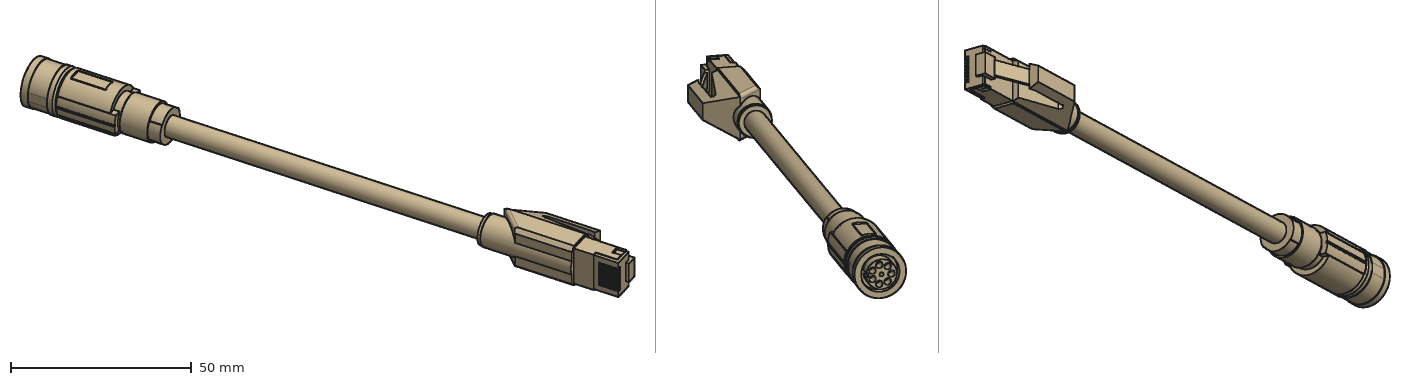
import cadquery as cq
import math


cut_clearance = 1.9

sleeve_radius = 7.4
insert_radius = 4.4
sleeve_bore_radius = 5.5
sleeve_start = 1.3
sleeve_gap_floor = 3.8
sleeve_band_start = 3.5
sleeve_band_end = 9.6
sleeve_band_radius = 7.2
sleeve_flat_half_width = 1.5
groove_start = 11.3
groove_radius = 6.8
grip_start = 12.7
grip_end = 29.3

contact_hole_radius = 1.0
contact_circle_radius = 2.8
outer_contact_count = 7
center_hole_radius = 0.5
contact_hole_depth = 3.8
keyway_width = 1.1
keyway_depth = 0.8

ridge_end = 31.2
ridge_radius = 7.5
ridge_half_width = 3.2
ridge_slot_width = 0.5
ridge_slot_depth = 0.4

label_start = 14.4
label_length = 11.0
label_width = 4.2
label_floor = 6.8

neck_radius = 5.7
collar_start = 32.0
collar_radius = 6.0
collar_end = 40.7
tail_end = 44.6
tail_radius = 5.5
tail_ridge_radius = 5.7

cable_radius = 3.2

boot_start = 144.5
boot_lip_length = 1.0
boot_lip_radius = 4.7
boot_radius = 5.0
boot_end = 174.2
block_half_width = 6.8
block_bottom = -4.4
block_top = 3.4
block_chamfer = 1.3
block_slope_start = 148.5
block_end_fillet = 1.1

hood_peak = 12.0
hood_peak_half_width = 2.5
hood_base_half_width = 6.2
hood_slope_end = 157.0
hood_front_lip = 8.9
window_roof = 9.3
window_roof_front = 172.0
window_back_x = 158.0
window_back_y = 8.5
window_corner_length = 0.8
window_floor_back_x = 158.9
window_floor_back_y = 7.8
window_floor_front_y = 5.1
arm_half_width = 2.3
arm_thickness = 1.0
arm_start_x = 172.1
arm_end_x = 184.8
arm_end_y = 4.2

total_length = 189.2
core_end = 188.2
core_half_width = 5.9
core_half_height = 3.0
shell_thickness = 0.2
shell_front = 180.5
shell_side_front = 187.3
shell_side_bottom = -1.9
nose_start = 184.5
nose_half_width = 3.2
nose_bottom = 1.3
nose_top = 4.5
side_recess_bottom = 0.4
side_recess_depth = 0.8
contact_slot_count = 8
contact_slot_pitch = 1.02
contact_slot_width = 0.5
contact_slot_start = 182.0
contact_slot_depth = 1.1


def cylinder(start, end, radius):
    """Round bar on the X axis."""
    return cq.Workplane("YZ", origin=(start, 0, 0)).circle(radius).extrude(end - start)


def block(x_range, y_range, z_range):
    """Box given by its limits along each axis."""
    size = [high - low for low, high in (x_range, y_range, z_range)]
    corner = (x_range[0], y_range[0], z_range[0])
    return cq.Workplane("XY", origin=corner).box(*size, centered=False)


def profile_along_z(points, half_width):
    """XY outline extruded symmetrically about Z = 0."""
    return cq.Workplane("XY").polyline(points).close().extrude(half_width, both=True)


def profile_along_x(points, start, end):
    """YZ outline extruded along X."""
    return cq.Workplane("YZ", origin=(start, 0, 0)).polyline(points).close().extrude(end - start)


def make_sleeve():
    groove_middle = (groove_start + grip_start) / 2
    outline = [
        (sleeve_start, 0),
        (sleeve_start, sleeve_radius),
        (sleeve_band_start, sleeve_radius),
        (sleeve_band_start, sleeve_band_radius),
        (sleeve_band_end, sleeve_band_radius),
        (sleeve_band_end, sleeve_radius),
        (groove_start, sleeve_radius),
        (groove_middle, groove_radius),
        (grip_start, sleeve_radius),
        (grip_end, sleeve_radius),
        (grip_end, 0),
    ]
    sleeve = cq.Workplane("XY").polyline(outline).close().revolve(360, (0, 0, 0), (1, 0, 0))

    sleeve = sleeve.cut(cylinder(sleeve_start, sleeve_gap_floor, sleeve_bore_radius))

    flat = math.sqrt(sleeve_band_radius**2 - sleeve_flat_half_width**2)
    for side in (-1, 1):
        y_range = sorted((side * flat, side * (sleeve_radius + cut_clearance)))
        z_range = (-sleeve_radius, sleeve_radius)
        sleeve = sleeve.cut(block((sleeve_band_start, sleeve_band_end), y_range, z_range))

    label = block(
        (label_start, label_start + label_length),
        (-label_width / 2, label_width / 2),
        (label_floor, sleeve_radius + cut_clearance),
    )
    return sleeve.cut(label)


def make_insert():
    insert = cylinder(0, grip_start, insert_radius)

    half_step = 180 / outer_contact_count
    ring = cq.Workplane("YZ").polarArray(contact_circle_radius, half_step, 360, outer_contact_count)
    holes = ring.circle(contact_hole_radius).extrude(contact_hole_depth)
    center_hole = cylinder(0, contact_hole_depth, center_hole_radius)
    insert = insert.cut(holes).cut(center_hole)

    keyway = block(
        (0, sleeve_gap_floor),
        (insert_radius - keyway_depth, insert_radius),
        (-keyway_width / 2, keyway_width / 2),
    )
    return insert.cut(keyway)


def make_ridges(start, end, radius):
    """Round-topped ridges on the +Y and -Y sides."""
    slab = block((start, end), (-radius, radius), (-ridge_half_width, ridge_half_width))
    return cylinder(start, end, radius).intersect(slab)


def make_crest_slots():
    """Cutter for the narrow slot along the crest of each grip ridge."""
    slab = block(
        (grip_start, ridge_end),
        (-ridge_radius, ridge_radius),
        (-ridge_slot_width / 2, ridge_slot_width / 2),
    )
    return slab.cut(cylinder(grip_start, ridge_end, ridge_radius - ridge_slot_depth))


def make_tail():
    outline = [
        (grip_end, 0),
        (grip_end, neck_radius),
        (collar_start, neck_radius),
        (collar_start, collar_radius),
        (collar_end, collar_radius),
        (collar_end, tail_radius),
        (tail_end, tail_radius),
        (tail_end, 0),
    ]
    tail = cq.Workplane("XY").polyline(outline).close().revolve(360, (0, 0, 0), (1, 0, 0))
    return tail.union(make_ridges(collar_end, tail_end, tail_ridge_radius))


def make_boot():
    lip_end = boot_start + boot_lip_length
    boot = cylinder(boot_start, lip_end, boot_lip_radius)
    boot = boot.union(cylinder(lip_end, boot_end, boot_radius))

    height = block_top - block_bottom
    outline = [
        (block_slope_start, block_top),
        (block_slope_start + height, block_bottom),
        (boot_end, block_bottom),
        (boot_end, block_top),
    ]
    body = profile_along_z(outline, block_half_width)

    for side in (">Z", "<Z"):
        body = body.faces(side).edges("<X").fillet(block_end_fillet)

    flat_half_width = block_half_width - block_chamfer
    section = [
        (block_top, -block_half_width),
        (block_bottom + block_chamfer, -block_half_width),
        (block_bottom, -flat_half_width),
        (block_bottom, flat_half_width),
        (block_bottom + block_chamfer, block_half_width),
        (block_top, block_half_width),
    ]
    body = body.intersect(profile_along_x(section, block_slope_start, boot_end))
    return boot.union(body)


def make_hood():
    outline = [
        (block_slope_start, block_top),
        (hood_slope_end, hood_peak),
        (boot_end, hood_peak),
        (boot_end, hood_front_lip),
        (window_roof_front, window_roof),
        (window_back_x + window_corner_length, window_roof),
        (window_back_x, window_back_y),
        (window_floor_back_x, window_floor_back_y),
        (boot_end, window_floor_front_y),
        (boot_end, block_top),
    ]
    hood = profile_along_z(outline, hood_base_half_width)

    section = [
        (block_top, -hood_base_half_width),
        (hood_peak, -hood_peak_half_width),
        (hood_peak, hood_peak_half_width),
        (block_top, hood_base_half_width),
    ]
    return hood.intersect(profile_along_x(section, block_slope_start, boot_end))


def make_latch_arm():
    outline = [
        (arm_start_x, window_roof),
        (arm_end_x, arm_end_y + arm_thickness / 2),
        (arm_end_x, arm_end_y - arm_thickness / 2),
        (arm_start_x, window_roof - arm_thickness),
    ]
    return profile_along_z(outline, arm_half_width)


def make_plug():
    core = block(
        (boot_end, core_end),
        (-core_half_height, core_half_height),
        (-core_half_width, core_half_width),
    )
    shell_height = core_half_height + shell_thickness
    shell_width = core_half_width + shell_thickness
    shell_outline = [
        (boot_end, -shell_height),
        (shell_front, -shell_height),
        (shell_front, shell_side_bottom),
        (shell_side_front, shell_side_bottom),
        (shell_side_front, shell_height),
        (boot_end, shell_height),
    ]
    plug = core.union(profile_along_z(shell_outline, shell_width))

    for side in (-1, 1):
        z_range = sorted((side * (shell_width - side_recess_depth), side * shell_width))
        recess = block((nose_start, shell_side_front), (side_recess_bottom, core_half_height), z_range)
        plug = plug.cut(recess)

    for index in range(contact_slot_count):
        center = (index - (contact_slot_count - 1) / 2) * contact_slot_pitch
        slot = block(
            (contact_slot_start, core_end),
            (-core_half_height, -core_half_height + contact_slot_depth),
            (center - contact_slot_width / 2, center + contact_slot_width / 2),
        )
        plug = plug.cut(slot)

    nose = block(
        (nose_start, total_length),
        (nose_bottom, nose_top),
        (-nose_half_width, nose_half_width),
    )
    return plug.union(nose)


cable = cylinder(grip_end, boot_end, cable_radius)

sleeve = make_sleeve().union(make_ridges(grip_start, ridge_end, ridge_radius))
result = sleeve.cut(make_crest_slots())
for piece in (
    make_insert(),
    make_tail(),
    cable,
    make_boot(),
    make_hood(),
    make_latch_arm(),
    make_plug(),
):
    result = result.union(piece)